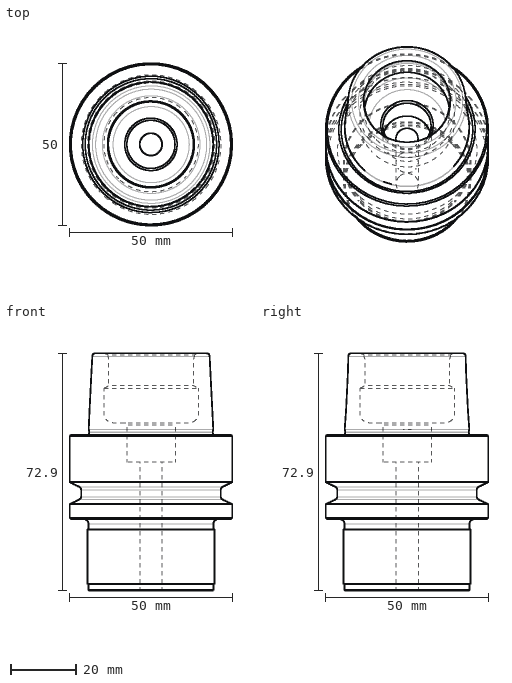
import cadquery as cq
import math

TOTAL_HEIGHT = 72.9
TAPER_LENGTH = 25.0
FLANGE_HEIGHT = 26.0
FLANGE_TOP = TOTAL_HEIGHT - TAPER_LENGTH
FLANGE_BOTTOM = FLANGE_TOP - FLANGE_HEIGHT

FLANGE_RADIUS = 25.0
FLANGE_CHAMFER = 0.5

GROOVE_BELOW_FLANGE_TOP = 18.0
GROOVE_CENTRE = FLANGE_TOP - GROOVE_BELOW_FLANGE_TOP
GROOVE_MOUTH = 6.6
GROOVE_RADIUS = 21.45
GROOVE_FLANK_ANGLE = math.radians(26.0)
GROOVE_FILLET = 1.0
GROOVE_EDGE_CHAMFER = 0.15
CUT_CLEARANCE = 1.0

TAPER_SLOPE = 0.05
TAPER_FOOT = FLANGE_TOP + 1.6
TAPER_FOOT_RADIUS = 19.18
TAPER_TOP_RADIUS = TAPER_FOOT_RADIUS - TAPER_SLOPE * (TOTAL_HEIGHT - TAPER_FOOT)
TAPER_TOP_FILLET = 1.0

RELIEF_RADIUS = 19.0
RELIEF_NECK_TOP = FLANGE_TOP + 0.9
RELIEF_FILLET = 1.2
RELIEF_NECK_BOTTOM = FLANGE_TOP + 0.7
RELIEF_FLOOR = RELIEF_NECK_BOTTOM - RELIEF_FILLET
RELIEF_FLOOR_RADIUS = RELIEF_RADIUS + RELIEF_FILLET
RELIEF_MOUTH_RADIUS = 20.95

NECK_RADIUS = 19.25
NECK_FILLET = 1.35
NECK_BOTTOM = 18.9

BORE_RADIUS = 13.05
BORE_ENTRY_RADIUS = 15.0
BORE_ENTRY_ARC = 3.3
BORE_ENTRY_ANGLE = math.radians(30.0)
BORE_LIP_RADIUS = 13.25
BORE_LIP_TOP = TOTAL_HEIGHT - 1.0
BORE_LIP_BOTTOM = TOTAL_HEIGHT - 1.75
SHOULDER_DEPTH = 9.9
SHOULDER_ANGLE = math.radians(30.0)
CHAMBER_RADIUS = 14.5
CHAMBER_FILLET = 2.8
CHAMBER_FLOOR = TOTAL_HEIGHT - 21.3

SOCKET_RADIUS = 7.4
SOCKET_CHAMFER = 0.65
SOCKET_DEPTH = 12.0
THROUGH_RADIUS = 3.4

NUT_RADIUS = 19.55
NUT_TOP_CHAMFER = 0.2
NUT_STEP_RADIUS = 19.25
NUT_STEP_HEIGHT = 1.9
NUT_STEP_CHAMFER = 0.2
NUT_BOTTOM_CHAMFER = 0.3


def revolve_profile(profile):
    """Turn a closed radius-height profile around the Z axis."""
    return profile.close().revolve(360, (0, 0, 0), (0, 1, 0))


def outer_body():
    """Solid holder blank: neck, flange and taper with the relief at its foot."""
    diagonal = math.sqrt(0.5)
    neck_fillet_top = (NECK_RADIUS + NECK_FILLET, FLANGE_BOTTOM)
    neck_fillet_middle = (
        NECK_RADIUS + NECK_FILLET * (1 - diagonal),
        FLANGE_BOTTOM - NECK_FILLET * (1 - diagonal),
    )
    relief_middle = (
        RELIEF_RADIUS + RELIEF_FILLET * (1 - diagonal),
        RELIEF_FLOOR + RELIEF_FILLET * (1 - diagonal),
    )
    profile = (
        cq.Workplane("XZ")
        .moveTo(0, NECK_BOTTOM)
        .lineTo(NECK_RADIUS, NECK_BOTTOM)
        .lineTo(NECK_RADIUS, FLANGE_BOTTOM - NECK_FILLET)
        .threePointArc(neck_fillet_middle, neck_fillet_top)
        .lineTo(FLANGE_RADIUS - FLANGE_CHAMFER, FLANGE_BOTTOM)
        .lineTo(FLANGE_RADIUS, FLANGE_BOTTOM + FLANGE_CHAMFER)
        .lineTo(FLANGE_RADIUS, FLANGE_TOP - FLANGE_CHAMFER)
        .lineTo(FLANGE_RADIUS - FLANGE_CHAMFER, FLANGE_TOP)
        .lineTo(RELIEF_MOUTH_RADIUS, FLANGE_TOP)
        .lineTo(RELIEF_FLOOR_RADIUS, RELIEF_FLOOR)
        .threePointArc(relief_middle, (RELIEF_RADIUS, RELIEF_NECK_BOTTOM))
        .lineTo(RELIEF_RADIUS, RELIEF_NECK_TOP)
        .lineTo(TAPER_FOOT_RADIUS, TAPER_FOOT)
        .lineTo(TAPER_TOP_RADIUS, TOTAL_HEIGHT)
        .lineTo(0, TOTAL_HEIGHT)
    )
    return revolve_profile(profile).faces(">Z").edges().fillet(TAPER_TOP_FILLET)


def gripper_groove():
    """Ring that cuts the trapezoidal groove with rounded floor corners."""
    half_mouth = GROOVE_MOUTH / 2
    flank_outer_radius = FLANGE_RADIUS - GROOVE_EDGE_CHAMFER
    flank_drop = (flank_outer_radius - GROOVE_RADIUS) * math.tan(GROOVE_FLANK_ANGLE)
    half_floor = half_mouth - flank_drop
    half_edge = half_mouth + GROOVE_EDGE_CHAMFER
    clear_radius = FLANGE_RADIUS + CUT_CLEARANCE
    profile = cq.Workplane("XZ").polyline([
        (GROOVE_RADIUS, GROOVE_CENTRE - half_floor),
        (flank_outer_radius, GROOVE_CENTRE - half_mouth),
        (FLANGE_RADIUS, GROOVE_CENTRE - half_edge),
        (clear_radius, GROOVE_CENTRE - half_edge),
        (clear_radius, GROOVE_CENTRE + half_edge),
        (FLANGE_RADIUS, GROOVE_CENTRE + half_edge),
        (flank_outer_radius, GROOVE_CENTRE + half_mouth),
        (GROOVE_RADIUS, GROOVE_CENTRE + half_floor),
    ])
    floor_corners = cq.selectors.RadiusNthSelector(0)
    return revolve_profile(profile).edges(floor_corners).fillet(GROOVE_FILLET)


def clamping_bore():
    """Rounded entry, clamping shoulder, chamber, socket and through hole."""
    half_angle = BORE_ENTRY_ANGLE / 2
    entry_middle = (
        BORE_ENTRY_RADIUS - BORE_ENTRY_ARC * math.sin(half_angle),
        TOTAL_HEIGHT - BORE_ENTRY_ARC * (1 - math.cos(half_angle)),
    )
    entry_end = (
        BORE_ENTRY_RADIUS - BORE_ENTRY_ARC * math.sin(BORE_ENTRY_ANGLE),
        TOTAL_HEIGHT - BORE_ENTRY_ARC * (1 - math.cos(BORE_ENTRY_ANGLE)),
    )
    shoulder_top = TOTAL_HEIGHT - SHOULDER_DEPTH
    shoulder_bottom = shoulder_top - (CHAMBER_RADIUS - BORE_RADIUS) * math.tan(SHOULDER_ANGLE)
    fillet_inset = CHAMBER_FILLET * (1 - math.sqrt(0.5))
    socket_bottom = CHAMBER_FLOOR - SOCKET_DEPTH
    profile = (
        cq.Workplane("XZ")
        .moveTo(0, TOTAL_HEIGHT)
        .lineTo(BORE_ENTRY_RADIUS, TOTAL_HEIGHT)
        .threePointArc(entry_middle, entry_end)
        .lineTo(BORE_LIP_RADIUS, BORE_LIP_TOP)
        .lineTo(BORE_RADIUS, BORE_LIP_BOTTOM)
        .lineTo(BORE_RADIUS, shoulder_top)
        .lineTo(CHAMBER_RADIUS, shoulder_bottom)
        .lineTo(CHAMBER_RADIUS, CHAMBER_FLOOR + CHAMBER_FILLET)
        .threePointArc(
            (CHAMBER_RADIUS - fillet_inset, CHAMBER_FLOOR + fillet_inset),
            (CHAMBER_RADIUS - CHAMBER_FILLET, CHAMBER_FLOOR),
        )
        .lineTo(SOCKET_RADIUS + SOCKET_CHAMFER, CHAMBER_FLOOR)
        .lineTo(SOCKET_RADIUS, CHAMBER_FLOOR - SOCKET_CHAMFER)
        .lineTo(SOCKET_RADIUS, socket_bottom)
        .lineTo(THROUGH_RADIUS, socket_bottom)
        .lineTo(THROUGH_RADIUS, NECK_BOTTOM)
        .lineTo(0, NECK_BOTTOM)
    )
    return revolve_profile(profile)


def make_holder():
    return outer_body().cut(gripper_groove()).cut(clamping_bore())


def make_nut():
    """Round nut seated against the neck, stepped at its lower end."""
    profile = cq.Workplane("XZ").polyline([
        (THROUGH_RADIUS, 0),
        (NUT_STEP_RADIUS - NUT_BOTTOM_CHAMFER, 0),
        (NUT_STEP_RADIUS, NUT_BOTTOM_CHAMFER),
        (NUT_STEP_RADIUS, NUT_STEP_HEIGHT),
        (NUT_RADIUS, NUT_STEP_HEIGHT + NUT_STEP_CHAMFER),
        (NUT_RADIUS, NECK_BOTTOM - NUT_TOP_CHAMFER),
        (NUT_RADIUS - NUT_TOP_CHAMFER, NECK_BOTTOM),
        (THROUGH_RADIUS, NECK_BOTTOM),
    ])
    return revolve_profile(profile)


holder = make_holder()
nut = make_nut()

result = cq.Compound.makeCompound([holder.val(), nut.val()])